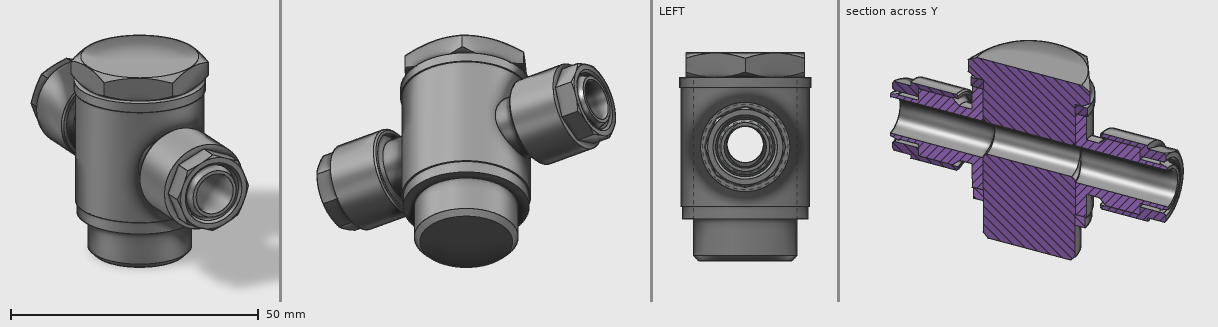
import cadquery as cq
import math


housing_diameter = 26.0
housing_half_height = 12.0
stub_diameter = 13.0
stub_end = 15.9
nut_thread_diameter = 16.0
nut_thread_end = 25.2
port_bore_diameter = 8.5

spigot_tip = 31.5
spigot_tip_diameter = 9.9
barb_diameter = 11.2
barb_length = 1.9
neck_diameter = 10.5

thread_diameter = 21.0
thread_bottom = -23.0
thread_chamfer = 1.15
head_across_flats = 24.0
head_height = 5.05
head_face_diameter = 23.8
head_chamfer_angle = 30
cross_hole_diameter = 7.3
cross_hole_height = 0.5
cross_hole_mouth_diameter = 8.95

upper_washer_diameter = 26.5
upper_washer_thickness = 2.0
lower_washer_diameter = 25.4
lower_washer_thickness = 2.5

nut_diameter = 18.0
nut_back = 16.1
nut_back_chamfer = 0.4
octagon_start = 26.9
octagon_end = 31.05
octagon_across_corners = 16.4
octagon_face_diameter = 15.2
octagon_chamfer_angle = 30
nut_bore_diameter = 12.0
mouth_diameter = 13.0

head_bottom = housing_half_height + upper_washer_thickness
head_top = head_bottom + head_height


def rod(diameter, start, end):
    """Cylinder along X between two X positions."""
    return cq.Workplane("YZ", origin=(start, 0, 0)).circle(diameter / 2).extrude(end - start)


def cone(start_diameter, end_diameter, start, end):
    """Truncated cone along X between two X positions."""
    profile = [(start, 0), (start, start_diameter / 2), (end, end_diameter / 2), (end, 0)]
    return cq.Workplane("XY").polyline(profile).close().revolve(360, (0, 0, 0), (1, 0, 0))


def upright(diameter, bottom, top):
    """Cylinder along Z between two heights."""
    return cq.Workplane("XY", origin=(0, 0, bottom)).circle(diameter / 2).extrude(top - bottom)


def mirrored_pair(feature):
    """The +X feature and its copy turned to the -X side."""
    return [feature.rotate((0, 0, 0), (0, 0, 1), angle) for angle in (0, 180)]


def make_port():
    """Stub, conical shoulder, nut thread and barbed spigot of the +X port."""
    shoulder_length = (nut_thread_diameter - stub_diameter) / 2
    thread_start = stub_end + shoulder_length
    barb_start = spigot_tip - barb_length
    port = rod(stub_diameter, 0, stub_end)
    port = port.union(cone(stub_diameter, nut_thread_diameter, stub_end, thread_start))
    port = port.union(rod(nut_thread_diameter, thread_start, nut_thread_end))
    port = port.union(rod(neck_diameter, nut_thread_end, barb_start))
    return port.union(cone(barb_diameter, spigot_tip_diameter, barb_start, spigot_tip))


def make_housing():
    housing = upright(housing_diameter, -housing_half_height, housing_half_height)
    for port in mirrored_pair(make_port()):
        housing = housing.union(port)
    housing = housing.cut(rod(port_bore_diameter, -spigot_tip, spigot_tip))
    return housing.cut(upright(thread_diameter, -housing_half_height, housing_half_height))


def make_cross_hole():
    """Hole through the bolt along X, countersunk at both ends."""
    hole_end = thread_diameter / 2
    countersink_depth = (cross_hole_mouth_diameter - cross_hole_diameter) / 2
    countersink = cone(
        cross_hole_diameter,
        cross_hole_mouth_diameter,
        hole_end - countersink_depth,
        hole_end,
    )
    hole = rod(cross_hole_diameter, -hole_end, hole_end)
    for end in mirrored_pair(countersink):
        hole = hole.union(end)
    return hole.translate((0, 0, cross_hole_height))


def make_bolt():
    corner_radius = head_across_flats / 2 / math.cos(math.pi / 6)
    face_radius = head_face_diameter / 2
    chamfer_height = (corner_radius - face_radius) * math.tan(math.radians(head_chamfer_angle))
    head = (
        cq.Workplane("XY", origin=(0, 0, head_bottom))
        .polygon(6, 2 * corner_radius)
        .extrude(head_height)
    )
    blank_profile = [
        (0, head_bottom),
        (face_radius, head_bottom),
        (corner_radius, head_bottom + chamfer_height),
        (corner_radius, head_top - chamfer_height),
        (face_radius, head_top),
        (0, head_top),
    ]
    blank = cq.Workplane("XZ").polyline(blank_profile).close().revolve(360, (0, 0, 0), (0, 1, 0))
    shank = upright(thread_diameter, thread_bottom, head_bottom)
    shank = shank.faces("<Z").chamfer(thread_chamfer)
    return head.intersect(blank).union(shank).cut(make_cross_hole())


def make_washer(diameter, bottom, top):
    return upright(diameter, bottom, top).cut(upright(thread_diameter, bottom, top))


def make_nut():
    """Clamping nut on the +X port."""
    collar = rod(nut_diameter, nut_back, octagon_start).faces("<X").chamfer(nut_back_chamfer)
    octagon = (
        cq.Workplane("YZ", origin=(octagon_start, 0, 0))
        .polygon(8, octagon_across_corners)
        .extrude(octagon_end - octagon_start)
    )
    corner_depth = (octagon_across_corners - octagon_face_diameter) / 2
    chamfer_length = corner_depth * math.tan(math.radians(octagon_chamfer_angle))
    chamfer_start = octagon_end - chamfer_length
    blank = rod(octagon_across_corners, octagon_start, chamfer_start)
    blank = blank.union(
        cone(octagon_across_corners, octagon_face_diameter, chamfer_start, octagon_end)
    )
    mouth_depth = (mouth_diameter - nut_bore_diameter) / 2
    nut = collar.union(octagon.intersect(blank))
    nut = nut.cut(rod(nut_thread_diameter, nut_back, nut_thread_end))
    nut = nut.cut(rod(nut_bore_diameter, nut_thread_end, octagon_end))
    return nut.cut(cone(nut_bore_diameter, mouth_diameter, octagon_end - mouth_depth, octagon_end))


housing = make_housing()
bolt = make_bolt()
upper_washer = make_washer(upper_washer_diameter, housing_half_height, head_bottom)
lower_washer = make_washer(
    lower_washer_diameter,
    -housing_half_height - lower_washer_thickness,
    -housing_half_height,
)
nuts = mirrored_pair(make_nut())

result = cq.Compound.makeCompound(
    [
        housing.val(),
        bolt.val(),
        upper_washer.val(),
        lower_washer.val(),
        *[nut.val() for nut in nuts],
    ]
)